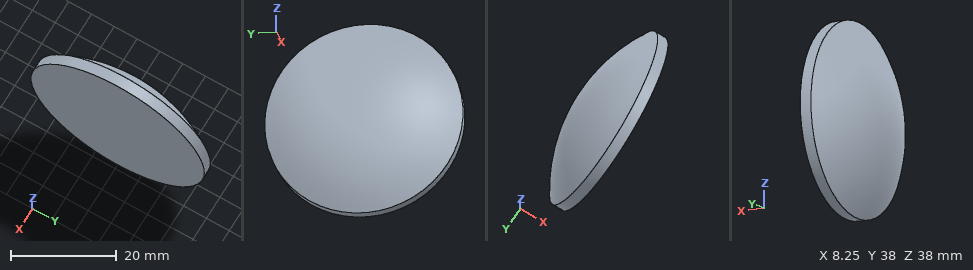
import cadquery as cq
import math

diameter = 38.05
total_thickness = 8.25
rim_thickness = 2.32

radius = diameter / 2
dome_height = total_thickness - rim_thickness
sphere_radius = (radius**2 + dome_height**2) / (2 * dome_height)
sphere_center_x = sphere_radius - dome_height

half_angle = math.asin(radius / sphere_radius) / 2
arc_middle = (
    sphere_center_x - sphere_radius * math.cos(half_angle),
    sphere_radius * math.sin(half_angle),
)

half_section = (
    cq.Workplane("XY")
    .moveTo(-dome_height, 0)
    .threePointArc(arc_middle, (0, radius))
    .lineTo(rim_thickness, radius)
    .lineTo(rim_thickness, 0)
    .close()
)

result = half_section.revolve(360, (0, 0, 0), (1, 0, 0))